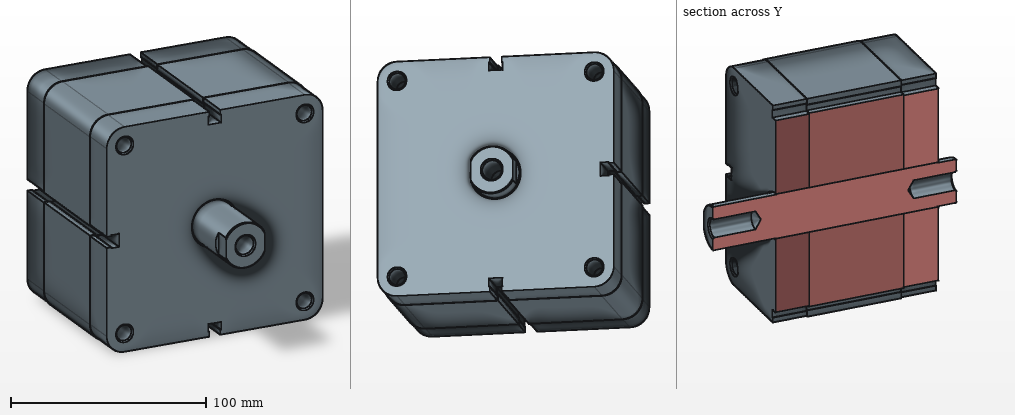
import cadquery as cq
import math

LEFT_CAP_LENGTH = 19.75
BARREL_LENGTH = 53.0
RIGHT_CAP_LENGTH = 19.0
BODY_LENGTH = LEFT_CAP_LENGTH + BARREL_LENGTH + RIGHT_CAP_LENGTH

BARREL_SIDE = 124.0
CAP_SIDE = 123.4
BOLT_PITCH = 103.0

BOLT_HOLE_DIAMETER = 8.4
BOLT_HOLE_CHAMFER = 0.8

SLOT_MOUTH_WIDTH = 5.2
SLOT_CHANNEL_WIDTH = 6.2
SLOT_MOUTH_DEPTH = 3.55
SLOT_DEPTH = 6.85
SLOT_ANGLES = (-90, 0, 90)
CAP_SLOT_CLEARANCE = 0.5

ROD_DIAMETER = 25.0
ROD_START = -10.0
ROD_LENGTH = 137.0
ROD_END = ROD_START + ROD_LENGTH
ROD_CHAMFER = 0.5
ROD_MOUTH_CHAMFER = 0.7

FLAT_ACROSS = 22.0
FLAT_LENGTH = 8.5
FLAT_RUNOUT = 0.6

ROD_HOLE_DIAMETER = 10.1
ROD_HOLE_CHAMFER = 0.8
ROD_HOLE_DEPTH = 24.0
DRILL_POINT_ANGLE = 118.0


def cylinder(start, length, diameter):
    return cq.Workplane("YZ", origin=(start, 0, 0)).circle(diameter / 2).extrude(length)


def rounded_block(length, side):
    """Square prism from x = 0 along +X with rounded corners."""
    corner_radius = (side - BOLT_PITCH) / 2
    return cq.Workplane("YZ").rect(side, side).extrude(length).edges("|X").fillet(corner_radius)


def cut_bores(body, length):
    """Cut the rod bore and the four tie-bolt holes."""
    bolt_holes = (
        cq.Workplane("YZ")
        .rect(BOLT_PITCH, BOLT_PITCH, forConstruction=True)
        .vertices()
        .circle(BOLT_HOLE_DIAMETER / 2)
        .extrude(length)
    )
    return body.cut(bolt_holes).cut(cylinder(0, length, ROD_DIAMETER))


def cut_slots(body, length, clearance):
    """Cut a T-slot into the -Y, -Z and +Z sides."""
    half_mouth = SLOT_MOUTH_WIDTH / 2 + clearance
    half_channel = SLOT_CHANNEL_WIDTH / 2 + clearance
    opening = -BARREL_SIDE / 2
    top = opening + SLOT_MOUTH_DEPTH - clearance
    floor = opening + SLOT_DEPTH + clearance
    slot = (
        cq.Workplane("YZ")
        .moveTo(opening, half_mouth)
        .lineTo(top, half_mouth)
        .lineTo(top, half_channel)
        .lineTo(floor, half_channel)
        .lineTo(floor, 0)
        .lineTo(opening, 0)
        .close()
        .extrude(length)
    )
    slot = slot.union(slot.mirror("XY"))
    for angle in SLOT_ANGLES:
        body = body.cut(slot.rotate((0, 0, 0), (1, 0, 0), angle))
    return body


def make_cap(length):
    """End cap with its outer face at x = 0 and its inner face at x = length."""
    cap = cut_bores(rounded_block(length, CAP_SIDE), length)
    bolt_hole_mouths = cap.faces("<X").edges("%CIRCLE").edges(cq.selectors.RadiusNthSelector(0))
    cap = bolt_hole_mouths.chamfer(BOLT_HOLE_CHAMFER)
    rod_mouth = cap.faces("<X").edges("%CIRCLE").edges(cq.selectors.RadiusNthSelector(-1))
    cap = rod_mouth.chamfer(ROD_MOUTH_CHAMFER)
    return cut_slots(cap, length, CAP_SLOT_CLEARANCE)


def make_barrel():
    barrel = cut_bores(rounded_block(BARREL_LENGTH, BARREL_SIDE), BARREL_LENGTH)
    barrel = cut_slots(barrel, BARREL_LENGTH, 0)
    return barrel.translate((LEFT_CAP_LENGTH, 0, 0))


def rod_hole_cutter():
    """Drilled hole with a chamfered mouth at x = 0 and a drill point toward +X."""
    radius = ROD_HOLE_DIAMETER / 2
    point_length = radius / math.tan(math.radians(DRILL_POINT_ANGLE / 2))
    return (
        cq.Workplane("XY")
        .moveTo(0, 0)
        .lineTo(0, radius + ROD_HOLE_CHAMFER)
        .lineTo(ROD_HOLE_CHAMFER, radius)
        .lineTo(ROD_HOLE_DEPTH, radius)
        .lineTo(ROD_HOLE_DEPTH + point_length, 0)
        .close()
        .revolve(360, (0, 0, 0), (1, 0, 0))
    )


def flat_cutter():
    """Material beside the -Y wrench flat, from x = 0 to the sloped shoulder."""
    flat_y = -FLAT_ACROSS / 2
    outside_y = -ROD_DIAMETER
    shoulder_slope = FLAT_RUNOUT / (ROD_DIAMETER / 2 + flat_y)
    shoulder_end = FLAT_LENGTH + shoulder_slope * (flat_y - outside_y)
    return (
        cq.Workplane("XY")
        .polyline([(0, flat_y), (FLAT_LENGTH, flat_y), (shoulder_end, outside_y), (0, outside_y)])
        .close()
        .extrude(ROD_DIAMETER / 2, both=True)
    )


def make_rod():
    rod = cylinder(ROD_START, ROD_LENGTH, ROD_DIAMETER)
    rod = rod.faces("<X or >X").edges().chamfer(ROD_CHAMFER)
    flat = flat_cutter()
    end_cutter = rod_hole_cutter().add(flat).add(flat.mirror("XZ")).combine()
    rod = rod.cut(end_cutter.translate((ROD_START, 0, 0)))
    return rod.cut(end_cutter.mirror("YZ").translate((ROD_END, 0, 0)))


left_cap = make_cap(LEFT_CAP_LENGTH)
right_cap = make_cap(RIGHT_CAP_LENGTH).mirror("YZ").translate((BODY_LENGTH, 0, 0))
barrel = make_barrel()
rod = make_rod()

result = cq.Compound.makeCompound([left_cap.val(), barrel.val(), right_cap.val(), rod.val()])